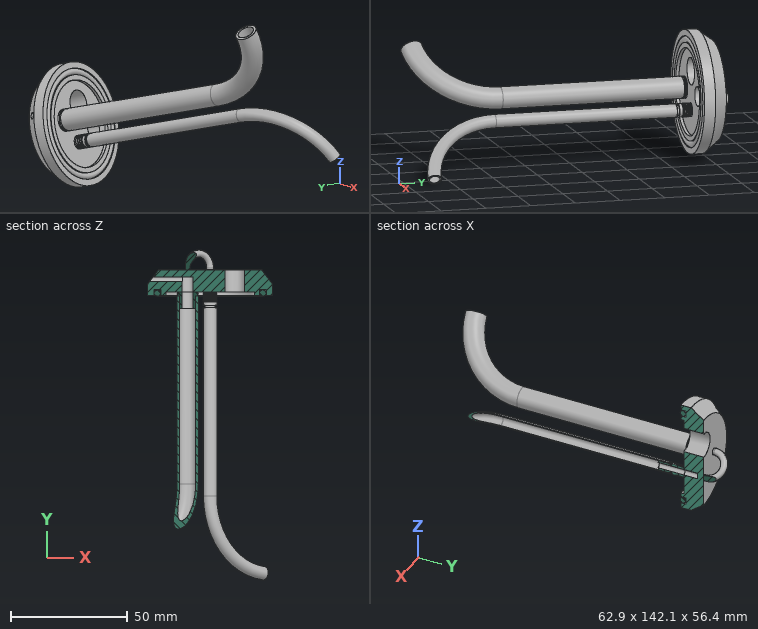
import cadquery as cq
import math


LID_RADIUS = 27.0
LID_BACK_RADIUS = 22.3
RIM_THICKNESS = 5.0
LID_THICKNESS = 11.1
RECESS_RADIUS = 19.0
RECESS_DEPTH = 1.4
LARGE_HOLE_RADIUS = 6.0
LARGE_HOLE_Z = 9.0
SMALL_HOLE_RADIUS = 4.3
SMALL_HOLE_X = 10.6
SIDE_HOLE_RADIUS = 1.4
SIDE_HOLE_Y = 7.0
PORT_TOP_Y = 8.0

SEAL_RADIUS = 22.7
SEAL_SECTION_RADIUS = 1.4
SEAL_PROTRUSION = 0.4
GROOVE_DEPTH = 2 * SEAL_SECTION_RADIUS - SEAL_PROTRUSION

HOSE_STRAIGHT = 81.0
HOSE_BEND_RADIUS = 33.4
HOSE_BEND_ANGLE = 84.2

LARGE_HOSE_X = -9.7
LARGE_HOSE_RADIUS = 4.8
LARGE_HOSE_BORE_RADIUS = 3.5
LARGE_HOSE_START_Y = 0.0

SMALL_HOSE_Z = -8.0
SMALL_HOSE_RADIUS = 3.0
SMALL_HOSE_BORE_RADIUS = 2.3
SMALL_HOSE_START_Y = -5.3

TILT = math.degrees(math.atan2(-SMALL_HOSE_Z, -LARGE_HOSE_X))

HOOK_BAR_RADIUS = 1.5
HOOK_HEIGHT = 8.5
HOOK_SPAN = math.hypot(LARGE_HOSE_X, SMALL_HOSE_Z)
HOOK_BEND_RADIUS = HOOK_SPAN / 2
HOOK_LEG = HOOK_HEIGHT - HOOK_BEND_RADIUS - HOOK_BAR_RADIUS

NIPPLE_WALL = 1.0
SPIGOT_INSERTION = 5.7
RIDGE_PITCH = 0.7
RIDGE_DEPTH = 0.4
LARGE_SHANK_LENGTH = 1.4
LARGE_RIDGE_COUNT = 2
LARGE_NIPPLE_BORE_RADIUS = LARGE_HOSE_BORE_RADIUS - NIPPLE_WALL
SMALL_SHANK_LENGTH = 5.7
SMALL_RIDGE_COUNT = 6
SMALL_NIPPLE_BORE_RADIUS = SMALL_HOSE_BORE_RADIUS - NIPPLE_WALL


def cylinder(radius, start, length, direction):
    """A solid cylinder from its start point along a direction."""
    return cq.Workplane(cq.Solid.makeCylinder(radius, length, cq.Vector(*start), cq.Vector(*direction)))


def make_seal_groove():
    """The annular groove, cut into the sealing face, that holds the seal ring."""
    inner = SEAL_RADIUS - SEAL_SECTION_RADIUS
    return (
        cq.Workplane("XY")
        .moveTo(inner, 0)
        .rect(2 * SEAL_SECTION_RADIUS, GROOVE_DEPTH, centered=False)
        .revolve(360, (0, 0, 0), (0, 1, 0))
    )


def make_lid():
    """The round lid: a rim with a conical back, with its holes, ports and seal groove.

    A blind port continues each nipple's bore, and the side hole opens into the large port.
    """
    lid = (
        cq.Workplane("XY")
        .polyline([
            (0, 0),
            (LID_RADIUS, 0),
            (LID_RADIUS, RIM_THICKNESS),
            (LID_BACK_RADIUS, LID_THICKNESS),
            (0, LID_THICKNESS),
        ])
        .close()
        .revolve(360, (0, 0, 0), (0, 1, 0))
    )
    through = (0, 1, 0)
    side_hole_depth = LID_RADIUS + LARGE_HOSE_X
    return (
        lid.cut(cylinder(RECESS_RADIUS, (0, 0, 0), RECESS_DEPTH, through))
        .cut(make_seal_groove())
        .cut(cylinder(LARGE_HOLE_RADIUS, (0, 0, LARGE_HOLE_Z), LID_THICKNESS, through))
        .cut(cylinder(SMALL_HOLE_RADIUS, (SMALL_HOLE_X, 0, 0), LID_THICKNESS, through))
        .cut(cylinder(LARGE_NIPPLE_BORE_RADIUS, (LARGE_HOSE_X, 0, 0), PORT_TOP_Y, through))
        .cut(cylinder(SMALL_NIPPLE_BORE_RADIUS, (0, 0, SMALL_HOSE_Z), PORT_TOP_Y, through))
        .cut(cylinder(SIDE_HOLE_RADIUS, (-LID_RADIUS, SIDE_HOLE_Y, 0), side_hole_depth, (1, 0, 0)))
    )


def make_seal():
    """The seal ring, resting on the groove floor and standing slightly proud of the face."""
    return (
        cq.Workplane("XY")
        .center(SEAL_RADIUS, GROOVE_DEPTH - SEAL_SECTION_RADIUS)
        .circle(SEAL_SECTION_RADIUS)
        .revolve(360, (-SEAL_RADIUS, 0, 0), (-SEAL_RADIUS, 1, 0))
    )


def make_hook():
    """The U-shaped lifting hook standing on the back of the lid."""
    path = (
        cq.Workplane("XY")
        .lineTo(0, HOOK_LEG)
        .threePointArc((HOOK_BEND_RADIUS, HOOK_LEG + HOOK_BEND_RADIUS), (HOOK_SPAN, HOOK_LEG))
        .lineTo(HOOK_SPAN, 0)
    )
    hook = cq.Workplane("XZ").circle(HOOK_BAR_RADIUS).sweep(path)
    return hook.rotate((0, 0, 0), (0, 1, 0), TILT).translate((LARGE_HOSE_X, LID_THICKNESS, 0))


def make_hose(radius, bore_radius, start, heading):
    """A hose running straight toward -Y, then bending away; heading is its turn about Y from +X."""
    angle = math.radians(HOSE_BEND_ANGLE)

    def bend_point(turn):
        return (
            HOSE_BEND_RADIUS * (1 - math.cos(turn)),
            -HOSE_STRAIGHT - HOSE_BEND_RADIUS * math.sin(turn),
        )

    path = (
        cq.Workplane("XY")
        .lineTo(0, -HOSE_STRAIGHT)
        .threePointArc(bend_point(angle / 2), bend_point(angle))
    )
    hose = cq.Workplane("XZ").circle(radius).circle(bore_radius).sweep(path)
    return hose.rotate((0, 0, 0), (0, 1, 0), heading).translate(start)


def make_nipple(shank_radius, shank_length, ridge_count, spigot_radius, bore_radius, hose_start):
    """A hollow nipple: a shank with V-shaped ridges near the lid, and a spigot into the hose."""
    x, hose_y, z = hose_start
    shank_end_y = RECESS_DEPTH - shank_length
    tip_y = hose_y - SPIGOT_INSERTION

    outline = cq.Workplane("XY").moveTo(bore_radius, RECESS_DEPTH).lineTo(shank_radius, RECESS_DEPTH)
    for ridge in range(ridge_count):
        ridge_y = RECESS_DEPTH - ridge * RIDGE_PITCH
        outline = outline.lineTo(shank_radius - RIDGE_DEPTH, ridge_y - RIDGE_PITCH / 2)
        outline = outline.lineTo(shank_radius, ridge_y - RIDGE_PITCH)
    if ridge_count * RIDGE_PITCH < shank_length:
        outline = outline.lineTo(shank_radius, shank_end_y)
    outline = (
        outline.lineTo(spigot_radius, shank_end_y)
        .lineTo(spigot_radius, tip_y)
        .lineTo(bore_radius, tip_y)
        .close()
    )
    return outline.revolve(360, (0, 0, 0), (0, 1, 0)).translate((x, 0, z))


large_start = (LARGE_HOSE_X, LARGE_HOSE_START_Y, 0)
small_start = (0, SMALL_HOSE_START_Y, SMALL_HOSE_Z)

lid = make_lid()
seal = make_seal()
hook = make_hook()
large_hose = make_hose(LARGE_HOSE_RADIUS, LARGE_HOSE_BORE_RADIUS, large_start, 180 + TILT)
small_hose = make_hose(SMALL_HOSE_RADIUS, SMALL_HOSE_BORE_RADIUS, small_start, TILT)
large_nipple = make_nipple(
    LARGE_HOSE_RADIUS,
    LARGE_SHANK_LENGTH,
    LARGE_RIDGE_COUNT,
    LARGE_HOSE_BORE_RADIUS,
    LARGE_NIPPLE_BORE_RADIUS,
    large_start,
)
small_nipple = make_nipple(
    SMALL_HOSE_RADIUS,
    SMALL_SHANK_LENGTH,
    SMALL_RIDGE_COUNT,
    SMALL_HOSE_BORE_RADIUS,
    SMALL_NIPPLE_BORE_RADIUS,
    small_start,
)

result = cq.Compound.makeCompound([
    lid.val(),
    seal.val(),
    hook.val(),
    large_hose.val(),
    small_hose.val(),
    large_nipple.val(),
    small_nipple.val(),
])